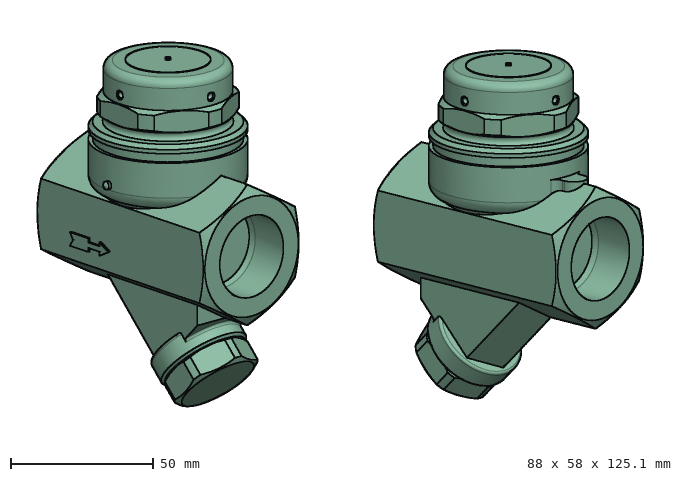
import cadquery as cq
import math


body_length = 88.0
body_flats = 45.0
body_face_d = 44.0
bore_d = 30.0
bore_depth = 15.0
bore_end_d = 29.0
bore_taper_length = 2.5
nut_chamfer_angle = 30.0

bowl_r = 28.0
groove_r = 26.5
seat_z = 39.3
rim_chamfer = bowl_r - groove_r
groove_top_z = 36.3
groove_bottom_z = 32.8
bowl_round_z = 20.0
bowl_round_r = 5.3
bowl_round_angle = 72.0
bowl_foot_r = 21.3
bowl_foot_z = 12.0

lug_r = 4.9
lug_tip_x = -36.1
lug_top_z = 27.0
lug_bottom_z = 20.0
lug_blend_r = 3.3

pin_d = 3.0
pin_tip_y = -30.0
pin_root_y = -25.0
pin_z = 21.8
pin_dome_height = 0.9

arrow_tail_x = -25.6
arrow_notch_x = -24.0
arrow_shoulder_x = -16.0
arrow_barb_x = -10.1
arrow_tip_x = -5.4
arrow_z = -5.3
arrow_half_height = 2.5
arrow_shaft_half = 1.0
arrow_raise = 0.8

branch_origin_x = -12.5
branch_origin_z = -12.5
branch_flats = 26.0
gusset_x = 30.0
gusset_end = 39.6
collar_r = 17.0
collar_start = 36.3
collar_round = 1.0
collar_chamfer = 1.0
tip_flats = 30.0
tip_trim_d = 33.0
tip_inner_face_d = 30.5
tip_outer_face_d = 28.8
tip_start = 45.3
tip_end = 54.8

neck_base_r = 23.0
neck_waist_r = 22.0
neck_top_r = 22.5
cover_flats = 46.0
cover_trim_d = 50.0
cover_r = 22.8
cover_hex_bottom_z = 42.3
cover_hex_top_z = 50.5
cover_top_z = 61.9
cover_round = 3.1
disc_d = 30.0
disc_top_z = 62.1
nub_d = 2.0
nub_top_z = 63.0
nub_dome_height = 0.4

dimple_count = 4
dimple_z = 53.8
dimple_mouth_d = 3.4
dimple_d = 2.4


def turned(profile):
    """Revolve a closed (radius, height) wire about the Z axis."""
    return profile.close().revolve(360, (0, 0, 0), (0, 1, 0))


def placed(shape, plane):
    """Move a shape from the global axes onto a plane, its Z becoming the plane's normal."""
    return cq.Workplane(shape.val().moved(cq.Location(plane)))


def across_corners(flats):
    """Corner-to-corner width of a hexagon of the given width across flats."""
    return 2 * flats / math.sqrt(3)


def hex_bar(flats, length, trim_d, start_face_d, end_face_d):
    """Hexagonal bar along Z with corners on X, trimmed round and chamfered at both ends."""
    slope = math.tan(math.radians(nut_chamfer_angle))
    trim_r = trim_d / 2
    start_r = start_face_d / 2
    end_r = end_face_d / 2
    envelope = turned(
        cq.Workplane("XZ")
        .moveTo(0, 0)
        .lineTo(start_r, 0)
        .lineTo(trim_r, (trim_r - start_r) * slope)
        .lineTo(trim_r, length - (trim_r - end_r) * slope)
        .lineTo(end_r, length)
        .lineTo(0, length)
    )
    return cq.Workplane("XY").polygon(6, across_corners(flats)).extrude(length).intersect(envelope)


def domed_pin(diameter, length, dome_height):
    """Round pin standing on Z = 0 with a shallow spherical end."""
    radius = diameter / 2
    sphere_r = (radius**2 + dome_height**2) / (2 * dome_height)
    half_way_r = radius / 2
    half_way_z = length - sphere_r + math.sqrt(sphere_r**2 - half_way_r**2)
    return turned(
        cq.Workplane("XZ")
        .moveTo(0, 0)
        .lineTo(radius, 0)
        .lineTo(radius, length - dome_height)
        .threePointArc((half_way_r, half_way_z), (0, length))
    )


branch_plane = cq.Plane(
    origin=(branch_origin_x, 0, branch_origin_z), xDir=(1, 0, 1), normal=(1, 0, -1)
)


def pipe():
    plane = cq.Plane(origin=(-body_length / 2, 0, 0), xDir=(0, 0, 1), normal=(1, 0, 0))
    corners = across_corners(body_flats)
    return placed(hex_bar(body_flats, body_length, corners, body_face_d, body_face_d), plane)


def pipe_bores():
    """Blind bores from both ends, each tapering slightly before its flat bottom."""
    bore = turned(
        cq.Workplane("XZ")
        .moveTo(0, 0)
        .lineTo(bore_d / 2, 0)
        .lineTo(bore_d / 2, bore_depth)
        .lineTo(bore_end_d / 2, bore_depth + bore_taper_length)
        .lineTo(0, bore_depth + bore_taper_length)
    )
    inlet = placed(bore, cq.Plane(origin=(-body_length / 2, 0, 0), normal=(1, 0, 0)))
    return inlet.union(inlet.mirror("YZ"))


def bowl():
    """Valve bowl with a chamfered rim, a groove under the rim and a rounded underside."""
    angle = math.radians(bowl_round_angle)
    centre_r = bowl_r - bowl_round_r

    def round_point(turn):
        return (
            centre_r + bowl_round_r * math.cos(turn),
            bowl_round_z - bowl_round_r * math.sin(turn),
        )

    return turned(
        cq.Workplane("XZ")
        .moveTo(0, seat_z)
        .lineTo(bowl_r - rim_chamfer, seat_z)
        .lineTo(bowl_r, seat_z - rim_chamfer)
        .lineTo(bowl_r, groove_top_z)
        .lineTo(groove_r, groove_top_z)
        .lineTo(groove_r, groove_bottom_z)
        .lineTo(bowl_r, groove_bottom_z)
        .lineTo(bowl_r, bowl_round_z)
        .threePointArc(round_point(angle / 2), round_point(angle))
        .lineTo(bowl_foot_r, bowl_foot_z)
        .lineTo(0, bowl_foot_z)
    )


def lug():
    """Round-ended lug whose sides blend into the bowl with tangent arcs."""
    centre_x = lug_tip_x + lug_r
    blend_y = lug_r + lug_blend_r
    blend_x = -math.sqrt((bowl_r + lug_blend_r) ** 2 - blend_y**2)
    to_bowl = bowl_r / (bowl_r + lug_blend_r)
    touch_x = blend_x * to_bowl
    touch_y = blend_y * to_bowl
    mid_angle = (-math.pi / 2 + math.atan2(-blend_y, -blend_x)) / 2
    mid_x = blend_x + lug_blend_r * math.cos(mid_angle)
    mid_y = blend_y + lug_blend_r * math.sin(mid_angle)
    return (
        cq.Workplane("XY", origin=(0, 0, lug_bottom_z))
        .moveTo(0, touch_y)
        .lineTo(touch_x, touch_y)
        .threePointArc((mid_x, mid_y), (blend_x, lug_r))
        .lineTo(centre_x, lug_r)
        .threePointArc((lug_tip_x, 0), (centre_x, -lug_r))
        .lineTo(blend_x, -lug_r)
        .threePointArc((mid_x, -mid_y), (touch_x, -touch_y))
        .lineTo(0, -touch_y)
        .close()
        .extrude(lug_top_z - lug_bottom_z)
    )


def locating_pin():
    pin = domed_pin(pin_d, pin_root_y - pin_tip_y, pin_dome_height)
    return placed(pin, cq.Plane(origin=(0, pin_root_y, pin_z), xDir=(1, 0, 0), normal=(0, -1, 0)))


def flow_arrow():
    upper_edge = [
        (arrow_tail_x, arrow_half_height),
        (arrow_shoulder_x, arrow_half_height),
        (arrow_shoulder_x, arrow_shaft_half),
        (arrow_barb_x, arrow_shaft_half),
        (arrow_barb_x, arrow_half_height),
    ]
    lower_edge = [(x, -z) for x, z in reversed(upper_edge)]
    outline = [(arrow_notch_x, 0), *upper_edge, (arrow_tip_x, 0), *lower_edge]
    front_flat = cq.Workplane("XZ", origin=(0, -body_flats / 2, arrow_z))
    return front_flat.polyline(outline).close().extrude(arrow_raise)


def gusset(end):
    """Slab as wide as the branch, filling the corner between the branch axis and the pipe."""
    run = end / math.sqrt(2)
    tip_x = branch_origin_x + run
    tip_z = branch_origin_z - run
    outline = [
        (branch_origin_x, branch_origin_z),
        (gusset_x, branch_origin_z),
        (gusset_x, gusset_x - end * math.sqrt(2)),
        (tip_x, tip_z),
    ]
    return cq.Workplane("XZ").polyline(outline).close().extrude(branch_flats / 2, both=True)


def collar():
    """Round boss at the branch end, rounded at its back and chamfered at its front."""
    ring = (
        cq.Workplane("XY", origin=(0, 0, collar_start))
        .circle(collar_r)
        .extrude(tip_start - collar_start)
        .faces("<Z")
        .edges()
        .fillet(collar_round)
        .faces(">Z")
        .edges()
        .chamfer(collar_chamfer)
    )
    return placed(ring, branch_plane)


def collar_blend():
    """Concave fillet where the collar leaves the end face of the gusset."""
    outer_r = collar_r + collar_round
    far_end = gusset_end + collar_round
    sink = collar_round * (1 - math.sqrt(0.5))
    flare = turned(
        cq.Workplane("XZ")
        .moveTo(0, gusset_end)
        .lineTo(outer_r, gusset_end)
        .threePointArc((collar_r + sink, gusset_end + sink), (collar_r, far_end))
        .lineTo(0, far_end)
    )
    return placed(flare, branch_plane).intersect(gusset(far_end))


def branch():
    stem = cq.Workplane("XY").polygon(6, across_corners(branch_flats)).extrude(collar_start)
    return placed(stem, branch_plane).union(gusset(gusset_end)).union(collar()).union(collar_blend())


def branch_end():
    bar = hex_bar(tip_flats, tip_end - tip_start, tip_trim_d, tip_inner_face_d, tip_outer_face_d)
    return placed(bar.translate((0, 0, tip_start)), branch_plane)


def make_body():
    """Pipe, bowl and strainer branch with its closed hexagonal end, as one solid."""
    solid = pipe()
    for feature in (bowl(), lug(), locating_pin(), branch(), branch_end(), flow_arrow()):
        solid = solid.union(feature)
    return solid.cut(pipe_bores())


def cover_neck():
    """Undercut neck between the bowl rim and the cover hexagon."""
    mid_z = (seat_z + cover_hex_bottom_z) / 2
    return turned(
        cq.Workplane("XZ")
        .moveTo(0, seat_z)
        .lineTo(neck_base_r, seat_z)
        .threePointArc((neck_waist_r, mid_z), (neck_top_r, cover_hex_bottom_z))
        .lineTo(0, cover_hex_bottom_z)
    )


def cover_hex():
    face_d = 2 * cover_r
    bar = hex_bar(cover_flats, cover_hex_top_z - cover_hex_bottom_z, cover_trim_d, face_d, face_d)
    return bar.translate((0, 0, cover_hex_bottom_z))


def cover_crown():
    """Rounded cover top carrying a thin raised disc with a small nub at its centre."""
    dome = (
        cq.Workplane("XY", origin=(0, 0, cover_hex_top_z))
        .circle(cover_r)
        .extrude(cover_top_z - cover_hex_top_z)
        .faces(">Z")
        .edges()
        .fillet(cover_round)
    )
    disc = (
        cq.Workplane("XY", origin=(0, 0, cover_top_z))
        .circle(disc_d / 2)
        .extrude(disc_top_z - cover_top_z)
    )
    nub = domed_pin(nub_d, nub_top_z - disc_top_z, nub_dome_height).translate((0, 0, disc_top_z))
    return dome.union(disc).union(nub)


def dimple(angle):
    """Countersunk, round-bottomed radial hole in the side of the cover."""
    mouth_r = dimple_mouth_d / 2
    hole_r = dimple_d / 2
    countersink = mouth_r - hole_r
    diagonal = hole_r * math.sqrt(0.5)
    cutter = turned(
        cq.Workplane("XZ")
        .moveTo(0, countersink)
        .lineTo(mouth_r + countersink, countersink)
        .lineTo(hole_r, -countersink)
        .threePointArc((diagonal, -countersink - diagonal), (0, -countersink - hole_r))
    )
    plane = cq.Plane(origin=(cover_r, 0, dimple_z), xDir=(0, 1, 0), normal=(1, 0, 0))
    return placed(cutter, plane).rotate((0, 0, 0), (0, 0, 1), angle)


def make_cover():
    """Hexagonal cover seated on the bowl rim, as one solid."""
    solid = cover_neck().union(cover_hex()).union(cover_crown())
    for index in range(dimple_count):
        solid = solid.cut(dimple(index * 360 / dimple_count))
    return solid


body = make_body()
cover = make_cover()

result = cq.Compound.makeCompound([body.val(), cover.val()])